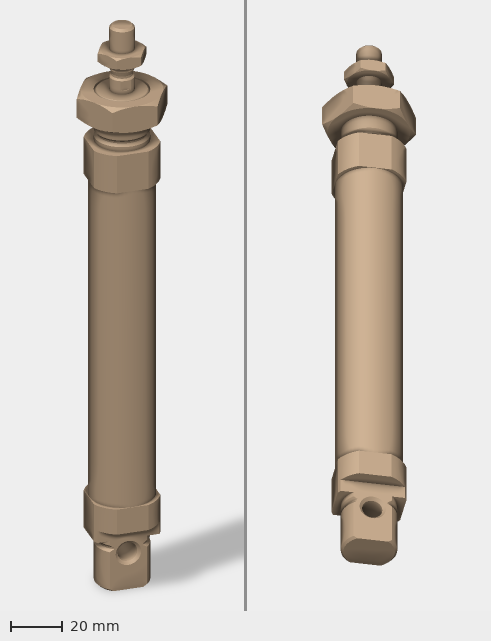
import cadquery as cq
import math

TOTAL_LENGTH = 241.5
FOOT_HEAD_BOTTOM = 22.0
FOOT_HEAD_TOP = 38.2
HEAD_BOTTOM = 175.5
HEAD_TOP = 191.8
NOSE_TOP = 213.5

BARREL_DIAMETER = 26.5
HEAD_DIAMETER = 30.0
HEAD_FLATS = 27.0

NECK_DIAMETER = 22.0
NECK_CHAMFER = 1.0
GROOVE_DIAMETER = 19.8
GROOVE_OFFSET = 2.0
GROOVE_WIDTH = 3.0

TONGUE_WIDTH = 16.0
TONGUE_TOP = 27.3
PIN_HOLE_DIAMETER = 8.0
PIN_HOLE_CHAMFER = 1.2
PIN_HOLE_HEIGHT = 15.7

ROD_DIAMETER = 10.0
STUD_CHAMFER = 1.0
SHANK_CHAMFER = 0.7
RELIEF_DIAMETER = 8.5
RELIEF_BOTTOM = 220.0
THREAD_RUNOUT_BOTTOM = 221.0
THREAD_BOTTOM = 223.0
ROD_FLATS = 9.0
ROD_FLATS_BOTTOM = 215.2
ROD_FLATS_TOP = 219.3

MOUNTING_NUT_CORNERS = 37.0
MOUNTING_NUT_HEIGHT = 11.0
ROD_NUT_CORNERS = 19.8
ROD_NUT_HEIGHT = 5.0
ROD_NUT_BOTTOM = 226.0
NUT_CHAMFER_ANGLE = 30.0
HALF_HEX_ANGLE = 30.0


def disc(diameter, bottom, top):
    """Upright cylinder between two heights."""
    return cq.Workplane("XY").workplane(offset=bottom).circle(diameter / 2).extrude(top - bottom)


def turned(profile):
    """Solid of revolution about Z from a closed outline of (radius, height) points."""
    return cq.Workplane("XZ").polyline(profile).close().revolve(360, (0, 0, 0), (0, 1, 0))


def neck_groove(bottom):
    """Material removed by one groove with sloping walls around a neck."""
    mouth_radius = NECK_DIAMETER / 2
    floor_radius = GROOVE_DIAMETER / 2
    depth = mouth_radius - floor_radius
    top = bottom + GROOVE_WIDTH
    return turned([
        (mouth_radius, bottom),
        (floor_radius, bottom + depth),
        (floor_radius, top - depth),
        (mouth_radius, top),
    ])


def flatted_head(bottom, top):
    """Round bar with four flats, facing +X, -X, +Y and -Y."""
    height = top - bottom
    square = cq.Workplane("XY").workplane(offset=bottom).rect(HEAD_FLATS, HEAD_FLATS).extrude(height)
    return disc(HEAD_DIAMETER, bottom, top).intersect(square)


def make_housing():
    """Barrel, both heads, threaded necks and clevis tongue, all one body."""
    housing = disc(BARREL_DIAMETER, FOOT_HEAD_TOP, HEAD_BOTTOM)
    housing = housing.union(flatted_head(FOOT_HEAD_BOTTOM, FOOT_HEAD_TOP))
    housing = housing.union(flatted_head(HEAD_BOTTOM, HEAD_TOP))
    nose = disc(NECK_DIAMETER, HEAD_TOP, NOSE_TOP).faces(">Z").chamfer(NECK_CHAMFER)
    foot = disc(NECK_DIAMETER, 0, FOOT_HEAD_BOTTOM).faces("<Z").chamfer(NECK_CHAMFER)
    housing = housing.union(nose).union(foot)

    nose_groove = HEAD_TOP + GROOVE_OFFSET
    foot_groove = FOOT_HEAD_BOTTOM - GROOVE_OFFSET - GROOVE_WIDTH
    for bottom in (nose_groove, foot_groove):
        housing = housing.cut(neck_groove(bottom))

    side_depth = HEAD_DIAMETER
    for side in (-1, 1):
        cutter = (
            cq.Workplane("XY")
            .center(side * (TONGUE_WIDTH + side_depth) / 2, 0)
            .rect(side_depth, HEAD_DIAMETER)
            .extrude(TONGUE_TOP)
        )
        housing = housing.cut(cutter)

    half_width = TONGUE_WIDTH / 2
    hole_radius = PIN_HOLE_DIAMETER / 2
    mouth_radius = hole_radius + PIN_HOLE_CHAMFER
    hole_profile = [
        (-half_width, 0),
        (-half_width, mouth_radius),
        (-half_width + PIN_HOLE_CHAMFER, hole_radius),
        (half_width - PIN_HOLE_CHAMFER, hole_radius),
        (half_width, mouth_radius),
        (half_width, 0),
    ]
    pin_hole = cq.Workplane("XY").polyline(hole_profile).close().revolve(360, (0, 0, 0), (1, 0, 0))
    housing = housing.cut(pin_hole.translate((0, 0, PIN_HOLE_HEIGHT)))

    return housing.cut(disc(ROD_DIAMETER, HEAD_BOTTOM, NOSE_TOP))


def make_rod():
    """Piston rod with a relief below its threaded stud and two wrench flats."""
    radius = ROD_DIAMETER / 2
    relief_radius = RELIEF_DIAMETER / 2
    rod = turned([
        (0, HEAD_BOTTOM),
        (radius, HEAD_BOTTOM),
        (radius, RELIEF_BOTTOM - SHANK_CHAMFER),
        (relief_radius, RELIEF_BOTTOM),
        (relief_radius, THREAD_RUNOUT_BOTTOM),
        (radius, THREAD_BOTTOM),
        (radius, TOTAL_LENGTH - STUD_CHAMFER),
        (radius - STUD_CHAMFER, TOTAL_LENGTH),
        (0, TOTAL_LENGTH),
    ])

    for side in (-1, 1):
        cutter = (
            cq.Workplane("XY")
            .workplane(offset=ROD_FLATS_BOTTOM)
            .center(side * (ROD_FLATS + ROD_DIAMETER) / 2, 0)
            .rect(ROD_DIAMETER, ROD_DIAMETER)
            .extrude(ROD_FLATS_TOP - ROD_FLATS_BOTTOM)
        )
        rod = rod.cut(cutter)
    return rod


def make_nut(corners, height, hole_diameter, bottom):
    """Hexagon nut with flats facing +X and -X, and corners chamfered at both ends."""
    flats = corners * math.cos(math.radians(HALF_HEX_ANGLE))
    hexagon = (
        cq.Workplane("XY")
        .polygon(6, corners)
        .extrude(height)
        .rotate((0, 0, 0), (0, 0, 1), HALF_HEX_ANGLE)
    )
    chamfer_height = (corners - flats) / 2 * math.tan(math.radians(NUT_CHAMFER_ANGLE))
    profile = [
        (0, 0),
        (flats / 2, 0),
        (corners / 2, chamfer_height),
        (corners / 2, height - chamfer_height),
        (flats / 2, height),
        (0, height),
    ]
    envelope = turned(profile)
    nut = hexagon.intersect(envelope).cut(disc(hole_diameter, 0, height))
    return nut.translate((0, 0, bottom))


housing = make_housing()
rod = make_rod()
mounting_nut_bottom = NOSE_TOP - MOUNTING_NUT_HEIGHT
mounting_nut = make_nut(MOUNTING_NUT_CORNERS, MOUNTING_NUT_HEIGHT, NECK_DIAMETER, mounting_nut_bottom)
rod_nut = make_nut(ROD_NUT_CORNERS, ROD_NUT_HEIGHT, ROD_DIAMETER, ROD_NUT_BOTTOM)

result = cq.Compound.makeCompound([housing.val(), rod.val(), mounting_nut.val(), rod_nut.val()])